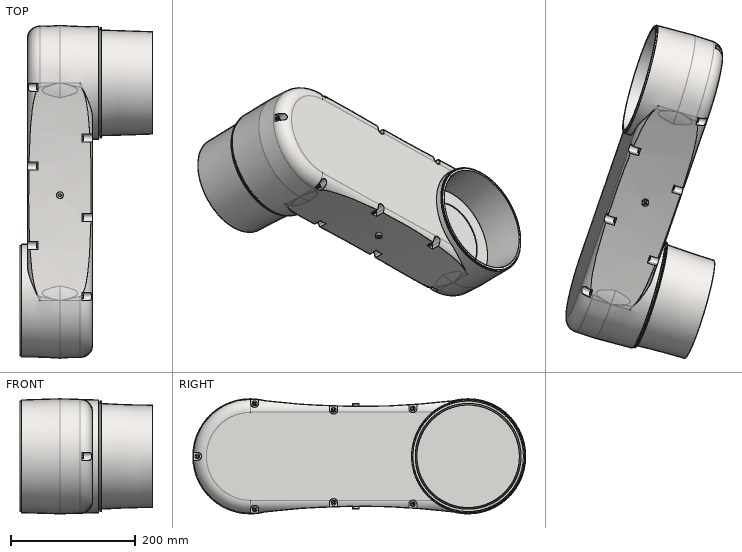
import cadquery as cq
import math


end_radius = 92.5
total_length = 535.0
half_pitch = total_length / 2 - end_radius
arm_half_thickness = 52.5
face_half_width = 70.5
edge_start = 32.0
draft = math.tan(math.radians(1.7))
waist_half_height = 80.0
side_sag = end_radius - waist_half_height
side_radius = (half_pitch ** 2 + side_sag ** 2) / (2 * side_sag)

barrel_end = 62.0
rim_radius = 89.0
rim_height = 2.0
socket_mouth_radius = 85.0
socket_floor_radius = 81.5
socket_depth = 68.0
recess_radius = 58.0
recess_depth = 1.0
groove_radius = 85.5
collar_start = 65.0
collar_end = 67.0
spigot_root_radius = 85.0
spigot_tip_radius = 82.5
spigot_end = 148.5

pocket_radius = 6.5
pocket_floor = 35.5
screw_radius = 4.0
screw_height = 2.0
screw_hole_radius = 1.5
pocket_places = (-86.0, 41.0, 168.0)
peg_radius = 5.5
peg_height = 4.5
peg_y = -5.5
peg_hole_radius = 2.0


def drafted_radius(x):
    """Radius of the rounded ends at a distance x from mid thickness."""
    return end_radius - draft * abs(x)


def side_height(y):
    """Half height of the concave arm side at position y."""
    rise = side_radius - math.sqrt(side_radius ** 2 - y ** 2)
    return waist_half_height + rise


def edge_midpoint():
    """Point halfway along the quarter-elliptic rounded edge, as (x, radius)."""
    part_way = math.sqrt(0.5)
    x = edge_start + (arm_half_thickness - edge_start) * part_way
    radius = face_half_width + (drafted_radius(edge_start) - face_half_width) * part_way
    return x, radius


def arm_section():
    """Upper half of the arm section: X across the thickness, Y as the height."""
    mid_x, mid_radius = edge_midpoint()
    shoulder = drafted_radius(edge_start)
    return (
        cq.Workplane("XY")
        .moveTo(-arm_half_thickness, 0)
        .lineTo(-arm_half_thickness, face_half_width)
        .threePointArc((-mid_x, mid_radius), (-edge_start, shoulder))
        .lineTo(0, end_radius)
        .lineTo(edge_start, shoulder)
        .threePointArc((mid_x, mid_radius), (arm_half_thickness, face_half_width))
        .lineTo(arm_half_thickness, 0)
        .close()
    )


def make_arm_middle():
    upper = arm_section().extrude(half_pitch, both=True).rotate((0, 0, 0), (1, 0, 0), 90)
    body = upper.union(upper.mirror("XY"))
    waist = (
        cq.Workplane("YZ")
        .moveTo(-half_pitch, -end_radius)
        .threePointArc((0, -waist_half_height), (half_pitch, -end_radius))
        .lineTo(half_pitch, end_radius)
        .threePointArc((0, waist_half_height), (-half_pitch, end_radius))
        .close()
        .extrude(arm_half_thickness, both=True)
    )
    return body.intersect(waist)


def turned(points):
    """Solid of revolution about the X axis from (x, radius) points."""
    return cq.Workplane("XY").polyline(points).close().revolve(360, (0, 0, 0), (1, 0, 0))


def make_arm_cap():
    """Rounded +Y half of the arm end, reaching to the barrel end on its +X side."""
    mid_x, mid_radius = edge_midpoint()
    cap = (
        cq.Workplane("XY")
        .moveTo(-arm_half_thickness, 0)
        .lineTo(-arm_half_thickness, face_half_width)
        .threePointArc((-mid_x, mid_radius), (-edge_start, drafted_radius(edge_start)))
        .lineTo(0, end_radius)
        .lineTo(barrel_end, drafted_radius(barrel_end))
        .lineTo(barrel_end, 0)
        .close()
        .revolve(180, (0, 0, 0), (1, 0, 0))
    )
    return cap.rotate((0, 0, 0), (1, 0, 0), -90).translate((0, half_pitch, 0))


def make_barrel():
    """Drafted barrel around the +Y pipe axis, leaving the arm towards +X."""
    shoulder = turned([
        (-edge_start, 0),
        (-edge_start, drafted_radius(edge_start)),
        (0, end_radius),
        (0, 0),
    ])
    outlet = turned([
        (0, 0),
        (0, end_radius),
        (barrel_end, drafted_radius(barrel_end)),
        (barrel_end, 0),
    ])
    return outlet.union(shoulder).translate((0, half_pitch, 0))


def make_spigot():
    return turned([
        (0, 0),
        (0, groove_radius),
        (collar_start, groove_radius),
        (collar_start, rim_radius),
        (collar_end, rim_radius),
        (collar_end, spigot_root_radius),
        (spigot_end, spigot_tip_radius),
        (spigot_end, 0),
    ])


def make_socket_rim():
    return turned([
        (-barrel_end - rim_height, 0),
        (-barrel_end - rim_height, rim_radius),
        (0, rim_radius),
        (0, 0),
    ])


def make_socket_bore():
    mouth = -barrel_end - rim_height
    floor = mouth + socket_depth
    return turned([
        (mouth, 0),
        (mouth, socket_mouth_radius),
        (floor, socket_floor_radius),
        (floor, recess_radius),
        (floor + recess_depth, recess_radius),
        (floor + recess_depth, 0),
    ])


def make_pocket():
    """U-shaped pocket open towards -X and +Z, with a screw head on its floor."""
    length = arm_half_thickness - pocket_floor
    opening = 2 * pocket_radius
    bore = cq.Workplane("YZ").circle(pocket_radius).extrude(-length)
    slot = cq.Workplane("YZ").rect(opening, opening).extrude(-length)
    slot = slot.translate((0, 0, pocket_radius))
    screw = cq.Workplane("YZ").circle(screw_radius).circle(screw_hole_radius).extrude(-screw_height)
    return bore.union(slot).cut(screw).translate((-pocket_floor, 0, 0))


def make_face_pockets():
    """All pockets cut into the -X face."""
    pockets = cq.Workplane("XY")
    for y in pocket_places:
        upper = make_pocket().translate((0, y, side_height(y) - pocket_radius))
        pockets = pockets.add(upper).add(upper.mirror("XY"))
    tip = make_pocket().rotate((0, 0, 0), (1, 0, 0), -90)
    tip_y = half_pitch + drafted_radius(pocket_floor) - pocket_radius
    return pockets.add(tip.translate((0, tip_y, 0))).combine()


def make_peg():
    top = waist_half_height + peg_height
    peg = cq.Workplane("XY").circle(peg_radius).extrude(top)
    hole = cq.Workplane("XY").workplane(offset=top).circle(peg_hole_radius).extrude(-peg_height)
    return peg.cut(hole).translate((0, peg_y, 0))


def half_turn(shape):
    """The same shape turned half a turn about the Z axis."""
    return shape.rotate((0, 0, 0), (0, 0, 1), 180)


arm_cap = make_arm_cap()
barrel = make_barrel()
result = make_arm_middle().union(arm_cap).union(half_turn(arm_cap))
result = result.union(barrel).union(half_turn(barrel))

result = result.union(make_spigot().translate((0, half_pitch, 0)))
result = result.union(make_socket_rim().translate((0, -half_pitch, 0)))
result = result.cut(make_socket_bore().translate((0, -half_pitch, 0)))

face_pockets = make_face_pockets()
result = result.cut(face_pockets).cut(half_turn(face_pockets))

peg = make_peg()
pegs = peg.union(peg.mirror("XY"))
result = result.union(pegs)